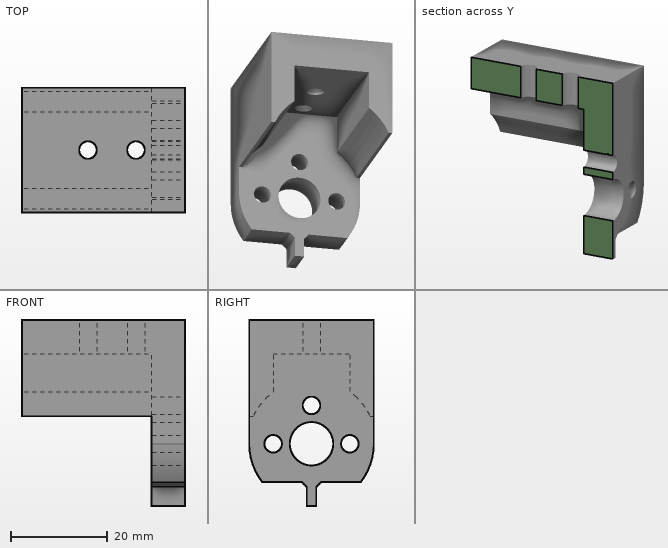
import cadquery as cq
import math

length = 34.0
width = 26.0
height = 38.75

block_height = 20.07
roof_thickness = 7.0
channel_width = 16.0
clearance_radius = 13.5

plate_thickness = 7.0
tab_length = 5.0
tab_width = 2.0
tab_chamfer = 1.0
axis_to_flat = 8.0
end_radius = width / 2

bore_diameter = 9.0
screw_diameter = 3.6
screw_offset = 8.0
first_roof_hole_x = 13.75
roof_hole_spacing = 10.0

block_bottom = height - block_height
roof_bottom = height - roof_thickness
channel_length = length - plate_thickness
flat_z = tab_length
axis_z = flat_z + axis_to_flat


def x_cylinder(diameter, y, z, start, depth):
    """Cylinder along +X from x = start."""
    return cq.Workplane("YZ", origin=(start, y, z)).circle(diameter / 2).extrude(depth)


def make_block():
    """Block with an open channel below the roof, flared by the round clearance."""
    block = cq.Workplane("XY", origin=(0, 0, block_bottom)).box(
        length, width, block_height, centered=(False, True, False)
    )
    channel = cq.Workplane("XY", origin=(0, 0, block_bottom)).box(
        channel_length, channel_width, roof_bottom - block_bottom, centered=(False, True, False)
    )
    clearance = x_cylinder(2 * clearance_radius, 0, axis_z, 0, channel_length)
    return block.cut(channel).cut(clearance)


def make_plate():
    """End plate below the block: round sides, flat bottom and a chamfered tab."""
    flat_half = math.sqrt(end_radius**2 - axis_to_flat**2)
    half_angle = math.asin(axis_to_flat / end_radius) / 2
    arc_mid_y = end_radius * math.cos(half_angle)
    arc_mid_z = axis_z - end_radius * math.sin(half_angle)
    tab_half = tab_width / 2
    tab_root_half = tab_half + tab_chamfer
    return (
        cq.Workplane("YZ", origin=(channel_length, 0, 0))
        .moveTo(-end_radius, block_bottom)
        .lineTo(-end_radius, axis_z)
        .threePointArc((-arc_mid_y, arc_mid_z), (-flat_half, flat_z))
        .lineTo(-tab_root_half, flat_z)
        .lineTo(-tab_half, flat_z - tab_chamfer)
        .lineTo(-tab_half, 0)
        .lineTo(tab_half, 0)
        .lineTo(tab_half, flat_z - tab_chamfer)
        .lineTo(tab_root_half, flat_z)
        .lineTo(flat_half, flat_z)
        .threePointArc((arc_mid_y, arc_mid_z), (end_radius, axis_z))
        .lineTo(end_radius, block_bottom)
        .close()
        .extrude(plate_thickness)
    )


result = make_block().union(make_plate())

plate_holes = [
    (bore_diameter, 0, axis_z),
    (screw_diameter, -screw_offset, axis_z),
    (screw_diameter, screw_offset, axis_z),
    (screw_diameter, 0, axis_z + screw_offset),
]
for diameter, y, z in plate_holes:
    result = result.cut(x_cylinder(diameter, y, z, channel_length, plate_thickness))

roof_holes = (
    cq.Workplane("XY", origin=(0, 0, roof_bottom))
    .pushPoints([(first_roof_hole_x, 0), (first_roof_hole_x + roof_hole_spacing, 0)])
    .circle(screw_diameter / 2)
    .extrude(roof_thickness)
)
result = result.cut(roof_holes)